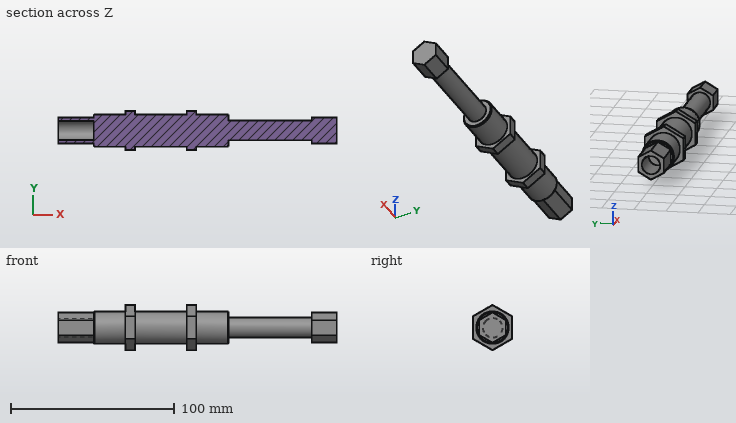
import cadquery as cq
import math

total_length = 170.5
rear_hex_length = 21.7
body_length = 82.7
tip_hex_length = 15.3
nut_thickness = 6.0
nut_starts = (41.1, 78.6)

body_diameter = 20.0
rod_diameter = 12.5
bore_diameter = 11.5
nut_across_flats = 24.0
small_hex_across_flats = 16.0

body_chamfer = 0.7
bore_depth = rear_hex_length


def hexagon(start, length, across_flats):
    """Hexagonal prism along X with its corners pointing up and down."""
    across_corners = across_flats / math.cos(math.pi / 6)
    prism = cq.Workplane("YZ").polygon(6, across_corners).extrude(length)
    return prism.rotate((0, 0, 0), (1, 0, 0), 90).translate((start, 0, 0))


def cylinder(start, length, diameter):
    """Round bar along X."""
    return cq.Workplane("YZ", origin=(start, 0, 0)).circle(diameter / 2).extrude(length)


body_end = rear_hex_length + body_length
tip_start = total_length - tip_hex_length

body = cylinder(rear_hex_length, body_length, body_diameter).faces("<X or >X").chamfer(body_chamfer)
rod = cylinder(body_end, tip_start - body_end, rod_diameter)
rear_hex = hexagon(0, rear_hex_length, small_hex_across_flats)
tip_hex = hexagon(tip_start, tip_hex_length, small_hex_across_flats)

result = body.union(rear_hex).union(rod).union(tip_hex)
for nut_start in nut_starts:
    result = result.union(hexagon(nut_start, nut_thickness, nut_across_flats))

result = result.cut(cylinder(0, bore_depth, bore_diameter))
result = result.translate((-total_length / 2, 0, 0))